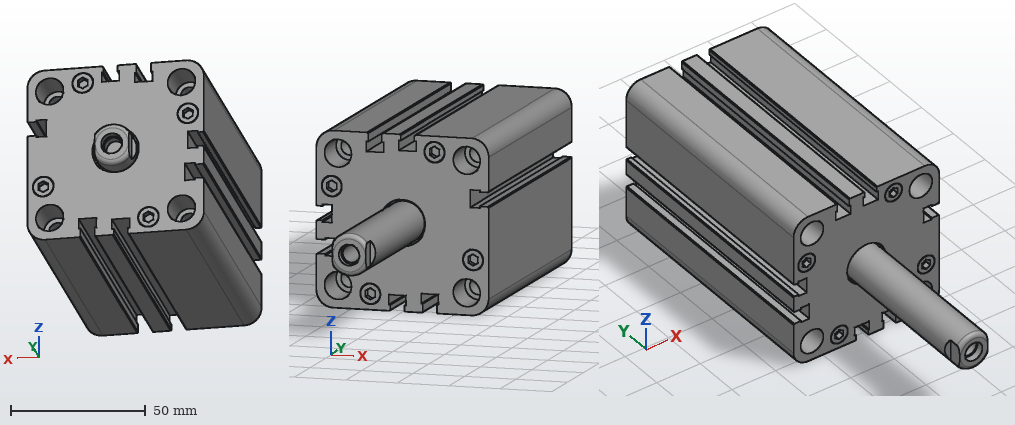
import cadquery as cq
import math

BODY_SIDE = 67.0
BODY_LENGTH = 105.6
CORNER_RADIUS = 6.7
TOTAL_LENGTH = 180.5
BACK_STICKOUT = 7.2
FRONT_STICKOUT = TOTAL_LENGTH - BODY_LENGTH - BACK_STICKOUT
HALF_SIDE = BODY_SIDE / 2
MID_LENGTH = BODY_LENGTH / 2

MOUNT_PITCH = 50.0
MOUNT_HOLE_DIAMETER = 6.7
MOUNT_COUNTERBORE_DIAMETER = 10.5
MOUNT_COUNTERBORE_DEPTH = 14.8

SLOT_OPENING = 5.5
SLOT_MOUTH_CHAMFER = 0.4
SLOT_INNER_WIDTH = 6.7
SLOT_INNER_HEIGHT = 3.8
DEEP_SLOT_DEPTH = 7.2
DEEP_SLOT_OFFSET = -10.6
SHALLOW_SLOT_DEPTH = 6.1
SHALLOW_SLOT_OFFSET = 2.0

SCREW_OFFSET = 12.5
SCREW_HEIGHT = 27.5
SCREW_BORE_DIAMETER = 8.0
SCREW_HEAD_DIAMETER = 7.5
SCREW_GAP_DEPTH = 3.6
SOCKET_WIDTH = 3.8
SOCKET_DEPTH = 2.7

ROD_DIAMETER = 16.0
ROD_CLEARANCE_DIAMETER = 17.7
ROD_CLEARANCE_DEPTH = 1.8
ROD_END_FILLET = 1.8
FLAT_WIDTH = 13.0
FLAT_LENGTH = 5.8
FLAT_RUNOUT = (ROD_DIAMETER - FLAT_WIDTH) / 2
THREAD_DIAMETER = 6.7
THREAD_MOUTH_DIAMETER = 8.0
THREAD_MOUTH_DEPTH = 3.0
THREAD_DEPTH = 19.9
DRILL_POINT_ANGLE = 118.0

QUARTER_TURNS = [0, 90, 180, 270]


def front_plane(y):
    """Sketch plane across the rod at the given Y: X to the right, Z up, normal along -Y."""
    return cq.Workplane("XZ", origin=(0, y, 0))


def turned(solid, angle):
    """Turn a solid about the rod axis, counter-clockwise as seen from the front."""
    return solid.rotate((0, 0, 0), (0, -1, 0), angle)


def mirrored_pair(solid):
    """A solid together with its mirror image at the other end of the body."""
    return solid.union(solid.mirror("XZ", (0, MID_LENGTH, 0)))


def t_slot(offset, depth):
    """Cutter for a full-length T-slot in the top face."""
    floor = HALF_SIDE - depth
    ledge = floor + SLOT_INNER_HEIGHT
    mouth = HALF_SIDE - SLOT_MOUTH_CHAMFER
    right_half = [
        (SLOT_INNER_WIDTH / 2, floor),
        (SLOT_INNER_WIDTH / 2, ledge),
        (SLOT_OPENING / 2, ledge),
        (SLOT_OPENING / 2, mouth),
        (SLOT_OPENING / 2 + SLOT_MOUTH_CHAMFER, HALF_SIDE),
    ]
    left_half = [(-x, z) for x, z in reversed(right_half)]
    outline = front_plane(0).polyline(right_half + left_half).close()
    return outline.extrude(-BODY_LENGTH).translate((offset, 0, 0))


def slots():
    deep = t_slot(DEEP_SLOT_OFFSET, DEEP_SLOT_DEPTH)
    shallow = t_slot(SHALLOW_SLOT_OFFSET, SHALLOW_SLOT_DEPTH)
    cutter = cq.Workplane("XZ")
    for angle in QUARTER_TURNS:
        cutter = cutter.add(turned(deep, angle))
        if angle != 270:
            cutter = cutter.add(turned(shallow, angle))
    return cutter.combine()


def mounting_holes():
    places = front_plane(0).rect(MOUNT_PITCH, MOUNT_PITCH, forConstruction=True).vertices()
    holes = places.circle(MOUNT_HOLE_DIAMETER / 2).extrude(-BODY_LENGTH)
    counterbores = places.circle(MOUNT_COUNTERBORE_DIAMETER / 2).extrude(-MOUNT_COUNTERBORE_DEPTH)
    return holes.union(mirrored_pair(counterbores))


def cap_screw_gaps():
    """Ring gap around each screw head and its hexagon socket."""
    socket_diameter = SOCKET_WIDTH / math.cos(math.pi / 6)
    ring = front_plane(0).circle(SCREW_BORE_DIAMETER / 2).circle(SCREW_HEAD_DIAMETER / 2)
    socket = turned(front_plane(0).polygon(6, socket_diameter).extrude(-SOCKET_DEPTH), 90)
    single = ring.extrude(-SCREW_GAP_DEPTH).add(socket)
    cutter = cq.Workplane("XZ")
    for angle in QUARTER_TURNS:
        turn = math.radians(angle)
        x = SCREW_OFFSET * math.cos(turn) - SCREW_HEIGHT * math.sin(turn)
        z = SCREW_OFFSET * math.sin(turn) + SCREW_HEIGHT * math.cos(turn)
        for piece in single.vals():
            cutter = cutter.add(piece.translate(cq.Vector(x, 0, z)))
    return mirrored_pair(cutter.combine())


def rod_clearance():
    ring = front_plane(0).circle(ROD_CLEARANCE_DIAMETER / 2).circle(ROD_DIAMETER / 2)
    return mirrored_pair(ring.extrude(-ROD_CLEARANCE_DEPTH))


def body():
    block = front_plane(0).rect(BODY_SIDE, BODY_SIDE).extrude(-BODY_LENGTH)
    block = block.edges("|Y").fillet(CORNER_RADIUS)
    return block.cut(slots()).cut(mounting_holes()).cut(cap_screw_gaps()).cut(rod_clearance())


def wrench_flats():
    """Cutter for two flats at the front end of the rod, each running out at 45 degrees."""
    flat_x = FLAT_WIDTH / 2
    rod_x = ROD_DIAMETER / 2
    side = (
        cq.Workplane("XY")
        .moveTo(flat_x, 0)
        .lineTo(flat_x, FLAT_LENGTH)
        .lineTo(rod_x, FLAT_LENGTH + FLAT_RUNOUT)
        .lineTo(rod_x, 0)
        .close()
        .extrude(ROD_DIAMETER / 2, both=True)
    )
    return side.union(side.mirror("YZ"))


def threaded_hole():
    """Cutter for the blind hole in the front end of the rod, with a wider mouth and a drill point."""
    hole_radius = THREAD_DIAMETER / 2
    mouth_radius = THREAD_MOUTH_DIAMETER / 2
    point_height = hole_radius / math.tan(math.radians(DRILL_POINT_ANGLE / 2))
    return (
        cq.Workplane("XY")
        .lineTo(mouth_radius, 0)
        .lineTo(mouth_radius, THREAD_MOUTH_DEPTH)
        .lineTo(hole_radius, THREAD_MOUTH_DEPTH)
        .lineTo(hole_radius, THREAD_DEPTH)
        .lineTo(0, THREAD_DEPTH + point_height)
        .close()
        .revolve(360, (0, 0, 0), (0, 1, 0))
    )


def rod():
    front_end = -FRONT_STICKOUT
    bar = front_plane(front_end).circle(ROD_DIAMETER / 2).extrude(-TOTAL_LENGTH)
    bar = bar.edges("%CIRCLE").fillet(ROD_END_FILLET)
    end_cut = wrench_flats().union(threaded_hole()).translate((0, front_end, 0))
    opposite_cut = end_cut.mirror("XZ", (0, front_end + TOTAL_LENGTH / 2, 0))
    return bar.cut(end_cut).cut(opposite_cut)


result = body().union(rod())